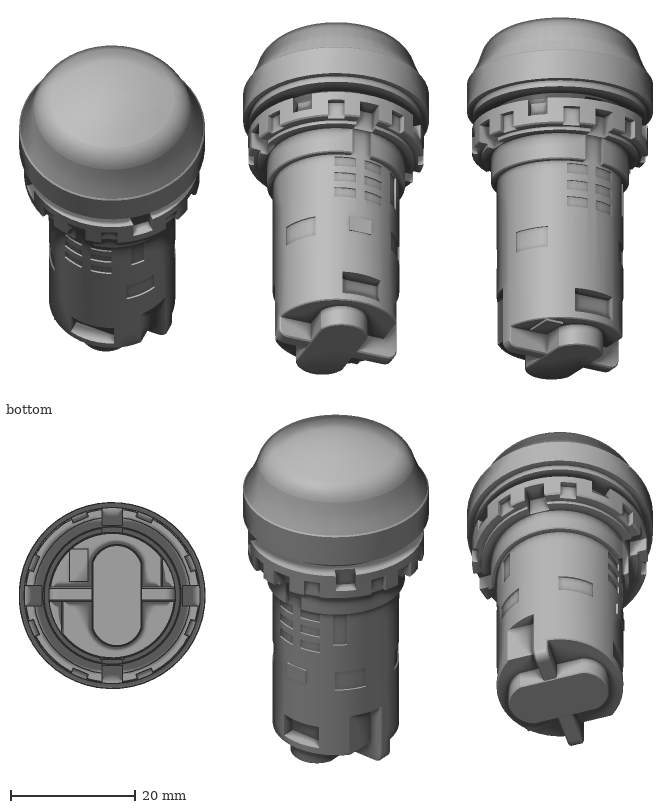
import cadquery as cq
import math

total_height = 57.5
bezel_radius = 14.95
collar_radius = 11.1
barrel_radius = 10.2
cut_margin = 0.6

base_z = 3.5
collar_bottom_z = 30.7
nut_bottom_z = 35.1
nut_flange_z = 35.65
nut_top_z = 40.0
neck_z = 41.15
gasket_bottom_z = 42.05
bezel_bottom_z = 43.05
lens_seat_z = 48.05

lens_radius = 14.7
crown_radius, crown_z = 10.1, 55.45
shoulder_radius, shoulder_z = 12.6, 53.0
shoulder_mid = (11.6, 54.45)
flank_mid = (13.45, 50.6)

gasket_radius = 14.0

nut_radius = 14.15
nut_step_radius = 12.6
nut_chamfer = 0.25
wide_notch_width = 3.3
grip_notch_width = 2.65
lower_notch_top_z = 38.6
upper_notch_floor_z = 37.2
main_notch_floor = 11.25
grip_notch_floor = 13.15
upper_notch_floor = 12.1

neck_radius = 10.85
bezel_chamfer = 0.2
collar_chamfer = 0.2
keyway_width = 3.3
keyway_top_z = 41.75

recess_depth = 0.3
vent_width = 3.4
vent_center_x = 2.4
vent_corner_radius = 0.3
vent_rows = ((22.8, 24.55, True), (25.75, 27.35, False), (28.6, 30.3, True))
strip_bottom_z, strip_top_z = 24.45, 30.3
strip_width = 2.25
strip_azimuths = (-41.5, 132.0)
pad_bottom_z, pad_top_z = 15.9, 19.45
pads = ((-38.0, 5.2), (142.0, 5.2), (-148.0, 5.8), (32.0, 5.8))

window_bottom_z, window_top_z = 4.8, 8.8
window_floor = 7.6
front_window_x = (-2.9, 4.4)
rear_window_x = (-3.9, 2.9)

key_width, key_bottom_z, key_top_z = 3.8, 16.55, 19.1
key_reach = 10.3

cutout_floor = 7.9
cutout_top_z = 10.9
cutout_chamfer = 0.25
base_chamfer = 0.2
rib_front_y, rib_rear_y = -1.4, 1.0
rib_corner_radius = 1.65
rib_chamfer = 0.25
rib_overhang = 0.05
rib_bottom_z = 0.1
boss_left_x, boss_right_x = -3.3, 4.8
boss_half_length = 8.2
boss_flat_half_length = 5.3
boss_chamfer = 0.2
foot_x = (-6.85, -3.85)
foot_y = (-7.5, -2.3)
foot_height = 0.35


def disc(radius, bottom, top):
    """Solid cylinder about the Z axis between two heights."""
    return cq.Workplane("XY").workplane(offset=bottom).circle(radius).extrude(top - bottom)


def block(x_range, y_range, z_range):
    """Box given by its lower and upper limits along each axis."""
    size = [high - low for low, high in (x_range, y_range, z_range)]
    corner = (x_range[0], y_range[0], z_range[0])
    return cq.Workplane("XY").box(*size, centered=False).translate(corner)


def notch_cutter(azimuth, width, floor, reach, bottom, top):
    """Straight-sided block lying between two distances from the Z axis, turned to an azimuth."""
    cutter = block((floor, reach), (-width / 2, width / 2), (bottom, top))
    return cutter.rotate((0, 0, 0), (0, 0, 1), azimuth)


def make_lens():
    crown_rise = total_height - crown_z
    sphere_radius = (crown_radius**2 + crown_rise**2) / (2 * crown_rise)
    crown_mid_x = crown_radius / 2
    crown_mid_z = total_height - sphere_radius + math.sqrt(sphere_radius**2 - crown_mid_x**2)
    profile = (
        cq.Workplane("XZ")
        .moveTo(0, lens_seat_z)
        .lineTo(lens_radius, lens_seat_z)
        .threePointArc(flank_mid, (shoulder_radius, shoulder_z))
        .threePointArc(shoulder_mid, (crown_radius, crown_z))
        .threePointArc((crown_mid_x, crown_mid_z), (0, total_height))
        .close()
    )
    return profile.revolve(360, (0, 0, 0), (0, 1, 0))


def make_gasket():
    washer = disc(gasket_radius, gasket_bottom_z, bezel_bottom_z)
    return washer.cut(disc(collar_radius, gasket_bottom_z, bezel_bottom_z))


def make_nut():
    nut = disc(nut_radius, nut_flange_z, nut_top_z).faces("<Z").edges().chamfer(nut_chamfer)
    nut = nut.union(disc(nut_step_radius, nut_bottom_z, nut_flange_z))
    nut = nut.cut(disc(collar_radius, nut_bottom_z, nut_top_z))
    reach = nut_radius + cut_margin
    for azimuth in (0, 90, 180, 270):
        nut = nut.cut(
            notch_cutter(azimuth, wide_notch_width, main_notch_floor, reach,
                         nut_bottom_z, lower_notch_top_z)
        )
        nut = nut.cut(
            notch_cutter(azimuth + 45, wide_notch_width, upper_notch_floor, reach,
                         upper_notch_floor_z, nut_top_z)
        )
        for offset in (-22.5, 22.5):
            nut = nut.cut(
                notch_cutter(azimuth + offset, grip_notch_width, grip_notch_floor, reach,
                             nut_bottom_z, lower_notch_top_z)
            )
    return nut


def make_turned_body():
    profile = (
        cq.Workplane("XZ")
        .moveTo(0, rib_bottom_z)
        .lineTo(barrel_radius, rib_bottom_z)
        .lineTo(barrel_radius, collar_bottom_z)
        .lineTo(collar_radius - collar_chamfer, collar_bottom_z)
        .lineTo(collar_radius, collar_bottom_z + collar_chamfer)
        .lineTo(collar_radius, neck_z)
        .lineTo(neck_radius, neck_z)
        .lineTo(collar_radius, gasket_bottom_z)
        .lineTo(collar_radius, bezel_bottom_z)
        .lineTo(bezel_radius, bezel_bottom_z)
        .lineTo(bezel_radius, lens_seat_z - bezel_chamfer)
        .lineTo(bezel_radius - bezel_chamfer, lens_seat_z)
        .lineTo(0, lens_seat_z)
        .close()
    )
    return profile.revolve(360, (0, 0, 0), (0, 1, 0))


def make_keyways():
    """Grooves through the collar, front and rear, down to the barrel surface."""
    across = block((-keyway_width / 2, keyway_width / 2), (-bezel_radius, bezel_radius),
                   (collar_bottom_z, keyway_top_z))
    return across.cut(disc(barrel_radius, collar_bottom_z, keyway_top_z))


def make_shallow_recesses():
    """Vents, upright strips and pads, all sunk to the same depth below the barrel surface."""
    reach = barrel_radius + cut_margin
    half_vent = vent_width / 2
    cutters = []
    for bottom, top, rounded in vent_rows:
        for center_x, inner_side in ((-vent_center_x, ">X"), (vent_center_x, "<X")):
            vent = block((center_x - half_vent, center_x + half_vent), (-reach, reach), (bottom, top))
            if rounded:
                vent = vent.faces(inner_side).edges("|Y").fillet(vent_corner_radius)
            cutters.append(vent)
    for azimuth in strip_azimuths:
        cutters.append(notch_cutter(azimuth, strip_width, 0, reach, strip_bottom_z, strip_top_z))
    for azimuth, width in pads:
        cutters.append(notch_cutter(azimuth, width, 0, reach, pad_bottom_z, pad_top_z))
    core = disc(barrel_radius - recess_depth, base_z, collar_bottom_z)
    return [cutter.cut(core) for cutter in cutters]


def make_windows():
    window_z = (window_bottom_z, window_top_z)
    front = block(front_window_x, (-bezel_radius, -window_floor), window_z)
    rear = block(rear_window_x, (window_floor, bezel_radius), window_z)
    return [front, rear]


def make_rib():
    """Cross rib, slightly longer than the barrel is wide, with rounded bottom corners."""
    half_length = barrel_radius + rib_overhang
    rib = block((-half_length, half_length), (rib_front_y, rib_rear_y), (rib_bottom_z, cutout_top_z))
    rib = rib.faces("<Z").edges("|Y").fillet(rib_corner_radius)
    return rib.faces("<Y or >Y").edges("not >Z").chamfer(rib_chamfer)


def make_terminal_clearance():
    """Space around the rib: everything below the chamfered base, plus two opposite side cutouts."""
    reach = barrel_radius + cut_margin
    below_base = (
        cq.Workplane("XZ")
        .moveTo(0, 0)
        .lineTo(reach, 0)
        .lineTo(reach, base_z + base_chamfer + cut_margin)
        .lineTo(barrel_radius - base_chamfer, base_z)
        .lineTo(0, base_z)
        .close()
        .revolve(360, (0, 0, 0), (0, 1, 0))
    )
    cutout_z = (base_z - cut_margin, cutout_top_z)
    left_rear = block((-reach, -cutout_floor), (0, reach), cutout_z)
    left_rear = left_rear.faces(">X").edges(">Z").chamfer(cutout_chamfer)
    right_front = block((cutout_floor, reach), (-reach, 0), cutout_z)
    right_front = right_front.faces("<X").edges(">Z").chamfer(cutout_chamfer)
    return below_base.union(left_rear).union(right_front).cut(make_rib())


def make_boss():
    """Terminal boss under the barrel: flat sides with bowed ends."""
    middle_x = (boss_left_x + boss_right_x) / 2
    outline = (
        cq.Workplane("XY")
        .moveTo(boss_left_x, -boss_flat_half_length)
        .threePointArc((middle_x, -boss_half_length), (boss_right_x, -boss_flat_half_length))
        .lineTo(boss_right_x, boss_flat_half_length)
        .threePointArc((middle_x, boss_half_length), (boss_left_x, boss_flat_half_length))
        .close()
    )
    return outline.extrude(base_z).faces("<Z").edges().chamfer(boss_chamfer)


def make_housing():
    housing = make_turned_body().cut(make_keyways())
    for cutter in make_shallow_recesses() + make_windows() + [make_terminal_clearance()]:
        housing = housing.cut(cutter)
    key = block((-key_width / 2, key_width / 2), (cutout_floor, key_reach), (key_bottom_z, key_top_z))
    foot = block(foot_x, foot_y, (base_z - foot_height, base_z))
    for addition in (make_boss(), key, foot):
        housing = housing.union(addition)
    return housing


lens = make_lens()
gasket = make_gasket()
nut = make_nut()
housing = make_housing()

result = cq.Compound.makeCompound([
    lens.solids().val(),
    gasket.solids().val(),
    nut.solids().val(),
    housing.solids().val(),
])